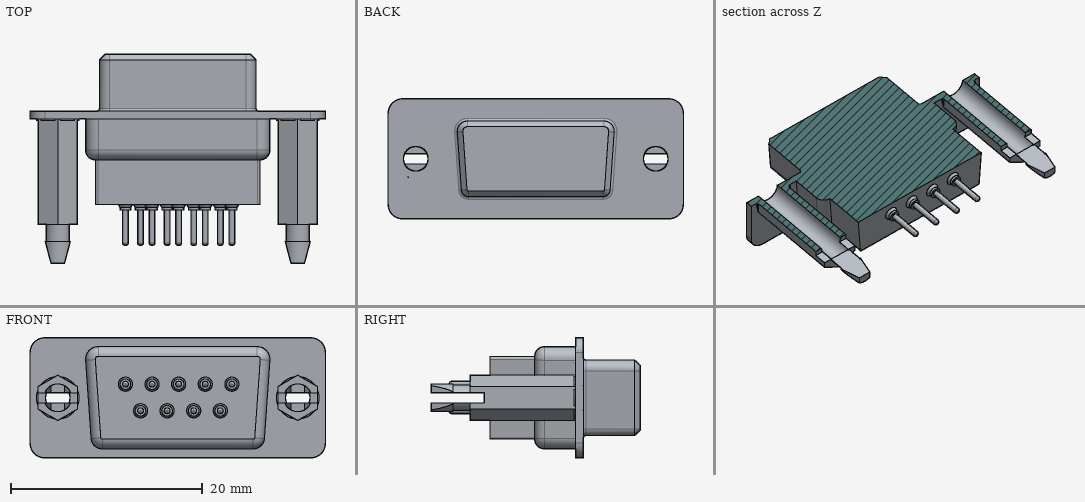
import cadquery as cq
import math


plate_width = 30.8
plate_height = 12.55
plate_thickness = 0.8
plate_corner_radius = 1.55

flank_angle = 4.0

shell_half_width = 7.98
shell_half_height = 3.95
shell_length = 5.95
shell_top_radius = 1.08
shell_bottom_radius = 0.75
shell_tip_chamfer = 0.6
shell_root_fillet = 0.28

housing_half_width = 9.35
housing_half_height = 5.33
housing_depth = 4.28
housing_top_radius = 1.32
housing_bottom_radius = 1.17
housing_edge_fillet = 1.02

insulator_half_width = housing_half_width - housing_edge_fillet
insulator_half_height = housing_half_height - housing_edge_fillet
insulator_top_radius = housing_top_radius - housing_edge_fillet
insulator_bottom_radius = housing_bottom_radius - housing_edge_fillet
insulator_depth = 8.95

pin_pitch = 2.77
upper_row_count = 5
upper_row_center = 0.1
upper_row_height = 1.42
lower_row_count = 4
lower_row_center = 0.28
lower_row_height = -1.35
pin_radius = 0.3
pin_tip_fillet = 0.25
pin_end_depth = 13.2
collar_base_radius = 0.75
collar_radius = 0.55
collar_cone_length = 0.3
collar_length = 0.6

standoff_spacing = 25.02
hex_across_flats = 4.1
hex_depth = 11.0
washer_radius = 2.22
washer_thickness = 0.2
bore_radius = 1.25
slot_height = 1.05
slot_floor_depth = 9.55
spigot_radius = 1.32
barb_radius = 1.45
barb_start_depth = 12.8
barb_end_depth = 15.07
barb_base_width = 2.62
barb_tip_width = 1.42


def rearward(depth_from, depth_to, sketch):
    """Extrude a sketch drawn by `sketch` on XZ from one depth behind the plate to another."""
    plane = cq.Workplane("XZ", origin=(0, -depth_from, 0))
    return sketch(plane).extrude(depth_to - depth_from)


def d_body(half_width, half_height, depth_from, depth_to, top_radius, bottom_radius):
    """D-shaped prism; half_width is measured at mid height."""
    lean = half_height * math.tan(math.radians(flank_angle))
    top = half_width + lean
    bottom = half_width - lean
    outline = [
        (-top, half_height),
        (top, half_height),
        (bottom, -half_height),
        (-bottom, -half_height),
    ]
    body = rearward(depth_from, depth_to, lambda plane: plane.polyline(outline).close())
    body = body.edges("|Y and >Z").fillet(top_radius)
    return body.edges("|Y and <Z").fillet(bottom_radius)


def mounting_plate():
    plate = rearward(-plate_thickness, 0, lambda plane: plane.rect(plate_width, plate_height))
    return plate.edges("|Y").fillet(plate_corner_radius)


def mating_shell():
    tip = plate_thickness + shell_length
    shell = d_body(
        shell_half_width, shell_half_height, -tip, -plate_thickness, shell_top_radius, shell_bottom_radius
    )
    return shell.faces(">Y").chamfer(shell_tip_chamfer)


def fillet_shell_root(body):
    """Round the inside corner where the mating shell meets the plate."""
    reach_x = housing_half_width
    reach_z = housing_half_height
    thin = 0.03
    around_root = cq.selectors.BoxSelector(
        (-reach_x, plate_thickness - thin, -reach_z),
        (reach_x, plate_thickness + thin, reach_z),
    )
    return body.edges(around_root).fillet(shell_root_fillet)


def rear_housing():
    housing = d_body(
        housing_half_width, housing_half_height, 0, housing_depth, housing_top_radius, housing_bottom_radius
    )
    return housing.faces("<Y").edges().fillet(housing_edge_fillet)


def insulator():
    return d_body(
        insulator_half_width,
        insulator_half_height,
        0,
        insulator_depth,
        insulator_top_radius,
        insulator_bottom_radius,
    )


def pin(x, z):
    """Round-tipped pin with a stepped collar, revolved about its own axis along Y."""
    tip_start = pin_end_depth - pin_tip_fillet
    arc_offset = pin_tip_fillet * math.sqrt(0.5)
    tip_flat = pin_radius - pin_tip_fillet
    collar_end = insulator_depth + collar_length
    profile = (
        cq.Workplane("XY")
        .moveTo(0, -housing_depth)
        .lineTo(collar_base_radius, -housing_depth)
        .lineTo(collar_base_radius, -insulator_depth)
        .lineTo(collar_radius, -insulator_depth - collar_cone_length)
        .lineTo(collar_radius, -collar_end)
        .lineTo(pin_radius, -collar_end)
        .lineTo(pin_radius, -tip_start)
        .threePointArc((tip_flat + arc_offset, -tip_start - arc_offset), (tip_flat, -pin_end_depth))
        .lineTo(0, -pin_end_depth)
        .close()
    )
    return profile.revolve(360, (0, 0, 0), (0, 1, 0)).translate((x, 0, z))


def pin_positions():
    rows = (
        (upper_row_count, upper_row_center, upper_row_height),
        (lower_row_count, lower_row_center, lower_row_height),
    )
    return [
        (center + (i - (count - 1) / 2) * pin_pitch, z)
        for count, center, z in rows
        for i in range(count)
    ]


def standoff():
    """Hexagonal standoff with a split snap-in spigot, centred on x = 0."""
    hex_corner_diameter = hex_across_flats / math.cos(math.radians(30))
    body = rearward(0, hex_depth, lambda plane: plane.polygon(6, hex_corner_diameter))
    body = body.rotate((0, 0, 0), (0, 1, 0), 90)
    washer = rearward(0, washer_thickness, lambda plane: plane.circle(washer_radius))
    spigot = rearward(hex_depth, barb_start_depth, lambda plane: plane.circle(spigot_radius))
    barb = rearward(barb_start_depth, barb_end_depth, lambda plane: plane.circle(barb_radius))
    taper = (
        cq.Workplane("XY")
        .polyline([
            (-barb_base_width / 2, -barb_start_depth),
            (barb_base_width / 2, -barb_start_depth),
            (barb_tip_width / 2, -barb_end_depth),
            (-barb_tip_width / 2, -barb_end_depth),
        ])
        .close()
        .extrude(barb_radius, both=True)
    )
    slot = rearward(
        slot_floor_depth, barb_end_depth, lambda plane: plane.rect(2 * washer_radius, slot_height)
    )
    return body.union(washer).union(spigot).union(barb.intersect(taper)).cut(slot)


def standoff_bore():
    """Bore through the plate and the standoff, ending where the spigot begins."""
    return rearward(-plate_thickness, hex_depth, lambda plane: plane.circle(bore_radius))


result = fillet_shell_root(mounting_plate().union(mating_shell()))
result = result.union(rear_housing()).union(insulator())

for pin_x, pin_z in pin_positions():
    result = result.union(pin(pin_x, pin_z))

for side in (-1, 1):
    offset = (side * standoff_spacing / 2, 0, 0)
    result = result.union(standoff().translate(offset)).cut(standoff_bore().translate(offset))